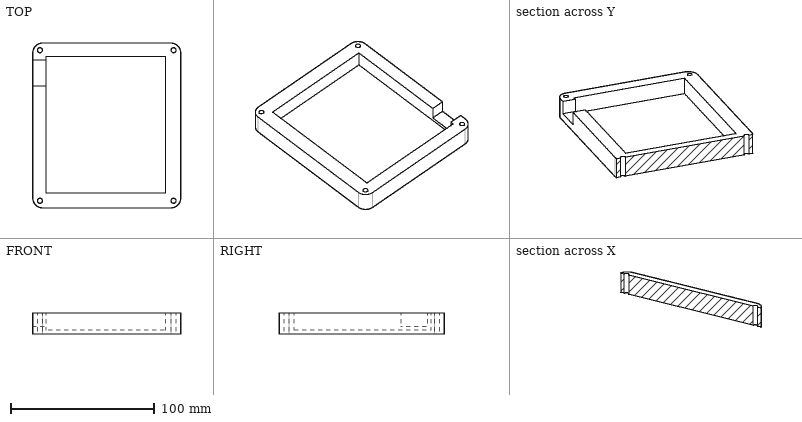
import cadquery as cq

width = 103.5
length = 115.4
height = 15.0
corner_radius = 7.0

left_wall = 9.5
right_wall = 10.7
front_wall = 10.5
back_wall = 9.5
pocket_depth = 12.0

notch_back_offset = 11.8
notch_length = 18.3
notch_depth = 9.5

hole_diameter = 3.3
hole_inset = 5.1


def top_down_cutter(x_min, x_max, y_min, y_max, depth):
    """Box between the given sides that reaches down from the top face."""
    size_x = x_max - x_min
    size_y = y_max - y_min
    corner = (x_min, y_min, height - depth)
    return cq.Workplane("XY").box(size_x, size_y, depth, centered=False).translate(corner)


left = -width / 2
right = width / 2
front = -length / 2
back = length / 2

block = (
    cq.Workplane("XY")
    .box(width, length, height, centered=(True, True, False))
    .edges("|Z")
    .fillet(corner_radius)
)

pocket = top_down_cutter(
    left + left_wall, right - right_wall, front + front_wall, back - back_wall, pocket_depth
)

notch_back = back - notch_back_offset
notch = top_down_cutter(
    left, left + left_wall, notch_back - notch_length, notch_back, notch_depth
)

holes = (
    cq.Workplane("XY")
    .rect(width - 2 * hole_inset, length - 2 * hole_inset, forConstruction=True)
    .vertices()
    .circle(hole_diameter / 2)
    .extrude(height)
)

result = block.cut(pocket).cut(notch).cut(holes)